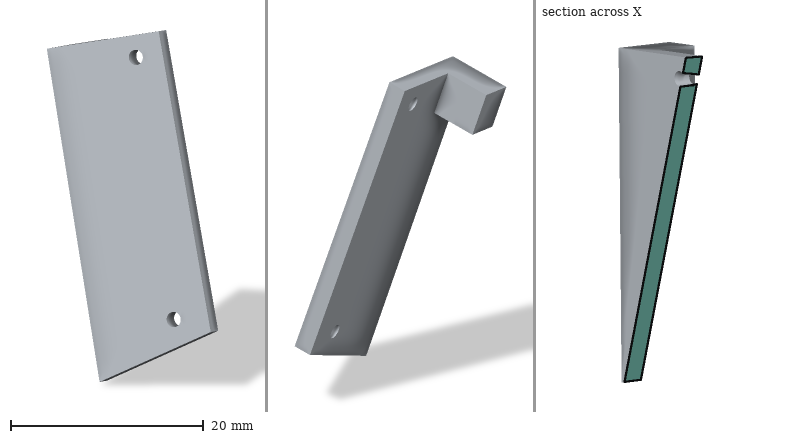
import cadquery as cq
import math

top_width = 12.8
left_length = 35.02
right_length = 31.68
right_lean = 0.9
thickness = 2.0

arm_width = 4.05
arm_length = 4.8
arm_reach = 6.9

hole_diameter = 1.6
hole_centers = [(9.8, 2.3), (9.38, 29.8)]

tilt_x = -11.8
tilt_y = -14.4
tilt_z = 12.4


def front_sketch():
    """Workplane on the front face: local x runs right, local y down, extrusion goes back."""
    return cq.Workplane(cq.Plane(origin=(0, 0, 0), xDir=(1, 0, 0), normal=(0, 1, 0)))


def make_plate():
    lean = math.radians(right_lean)
    lower_right = (
        top_width + right_length * math.sin(lean),
        right_length * math.cos(lean),
    )
    outline = [(0, 0), (top_width, 0), lower_right, (0, left_length)]
    return front_sketch().polyline(outline).close().extrude(thickness)


def make_arm():
    return front_sketch().rect(arm_width, arm_length, centered=False).extrude(arm_reach)


def make_holes():
    return front_sketch().pushPoints(hole_centers).circle(hole_diameter / 2).extrude(thickness)


def tilt(part):
    origin = (0, 0, 0)
    part = part.rotate(origin, (1, 0, 0), tilt_x)
    part = part.rotate(origin, (0, 1, 0), tilt_y)
    return part.rotate(origin, (0, 0, 1), tilt_z)


upright_part = make_plate().union(make_arm()).cut(make_holes())
result = tilt(upright_part)